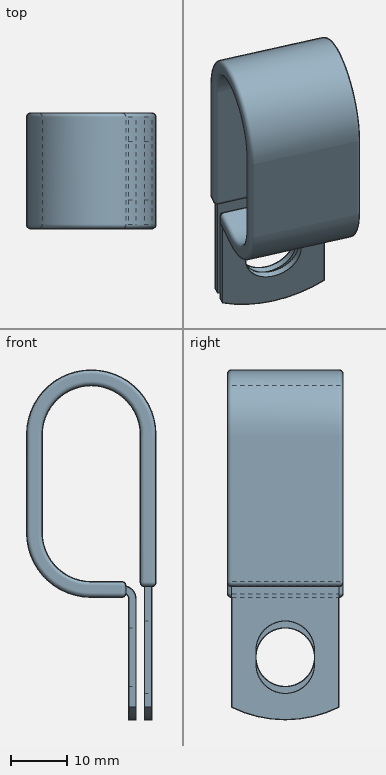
import cadquery as cq
import math

loop_width = 23.05
side_length = 17.45
cushion_depth = 20.6
strip_thickness = 1.3
cover = 0.75
total_height = 62.3
cushion_right_drop = 38.6
cushion_foot_end = 6.15
tab_gap = 1.5
bend_inner_radius = 1.0
hole_diameter = 10.4
hole_drop = 51.15
slot_extra_length = 2.5
tab_end_sag = 2.25

cushion_thickness = strip_thickness + 2 * cover
strip_width = cushion_depth - 2 * cover
outer_radius = loop_width / 2
mid_radius = outer_radius - cushion_thickness / 2
loop_top = outer_radius
tab_bottom = loop_top - total_height
cushion_right_end = loop_top - cushion_right_drop
foot_z = -side_length - mid_radius
bend_radius = bend_inner_radius + strip_thickness / 2
left_tab_x = mid_radius - strip_thickness - tab_gap
bend_start_x = left_tab_x - bend_radius


def band(thickness, depth, right_end, foot_end):
    """Loop of constant thickness, from the right leg over the top to the lower leg."""
    outer = mid_radius + thickness / 2
    inner = mid_radius - thickness / 2
    corner = math.sqrt(0.5)
    low = -side_length
    return (
        cq.Workplane("XZ")
        .moveTo(outer, right_end)
        .lineTo(outer, 0)
        .threePointArc((0, outer), (-outer, 0))
        .lineTo(-outer, low)
        .threePointArc((-outer * corner, low - outer * corner), (0, low - outer))
        .lineTo(foot_end, low - outer)
        .lineTo(foot_end, low - inner)
        .lineTo(0, low - inner)
        .threePointArc((-inner * corner, low - inner * corner), (-inner, low))
        .lineTo(-inner, 0)
        .threePointArc((0, inner), (inner, 0))
        .lineTo(inner, right_end)
        .close()
        .extrude(depth / 2, both=True)
    )


def bent_tab():
    """Left tab, joined to the lower leg by a quarter bend."""
    bend_outer_radius = bend_inner_radius + strip_thickness
    bend_center_z = foot_z - bend_radius
    corner = math.sqrt(0.5)

    def bend_point(radius, across, up):
        return bend_start_x + radius * across, bend_center_z + radius * up

    return (
        cq.Workplane("XZ")
        .moveTo(bend_start_x + bend_outer_radius, tab_bottom)
        .lineTo(*bend_point(bend_outer_radius, 1, 0))
        .threePointArc(bend_point(bend_outer_radius, corner, corner), bend_point(bend_outer_radius, 0, 1))
        .lineTo(*bend_point(bend_inner_radius, 0, 1))
        .threePointArc(bend_point(bend_inner_radius, corner, corner), bend_point(bend_inner_radius, 1, 0))
        .lineTo(bend_start_x + bend_inner_radius, tab_bottom)
        .close()
        .extrude(strip_width / 2, both=True)
    )


def tab_end_limit():
    """Prism along X bounded below by the rounded tab end."""
    half_width = strip_width / 2
    corner_z = tab_bottom + tab_end_sag
    return (
        cq.Workplane("YZ")
        .moveTo(-half_width, corner_z)
        .threePointArc((0, tab_bottom), (half_width, corner_z))
        .lineTo(half_width, loop_top)
        .lineTo(-half_width, loop_top)
        .close()
        .extrude(loop_width / 2, both=True)
    )


def bolt_openings():
    """Round hole through the left tab and a vertical slot through the right tab."""
    gap_center_x = left_tab_x + (strip_thickness + tab_gap) / 2
    hole = (
        cq.Workplane("YZ")
        .center(0, loop_top - hole_drop)
        .circle(hole_diameter / 2)
        .extrude(gap_center_x)
    )
    slot = (
        cq.Workplane("YZ", origin=(gap_center_x, 0, 0))
        .center(0, loop_top - hole_drop)
        .slot2D(hole_diameter + slot_extra_length, hole_diameter, 90)
        .extrude(outer_radius - gap_center_x)
    )
    return hole.union(slot)


cushion = band(cushion_thickness, cushion_depth, cushion_right_end, cushion_foot_end)
right_end = cq.selectors.NearestToPointSelector((mid_radius, 0, cushion_right_end))
foot_end = cq.selectors.NearestToPointSelector((cushion_foot_end, 0, foot_z))
right_end_edges = cushion.faces(right_end).edges()
foot_end_edges = cushion.faces(foot_end).edges()
side_edges = cushion.faces("|Y").edges()
cushion = side_edges.add(right_end_edges).add(foot_end_edges).fillet(cover)
strip = band(strip_thickness, strip_width, tab_bottom, bend_start_x).union(bent_tab())
strip = strip.intersect(tab_end_limit()).cut(bolt_openings())

result = cushion.union(strip)